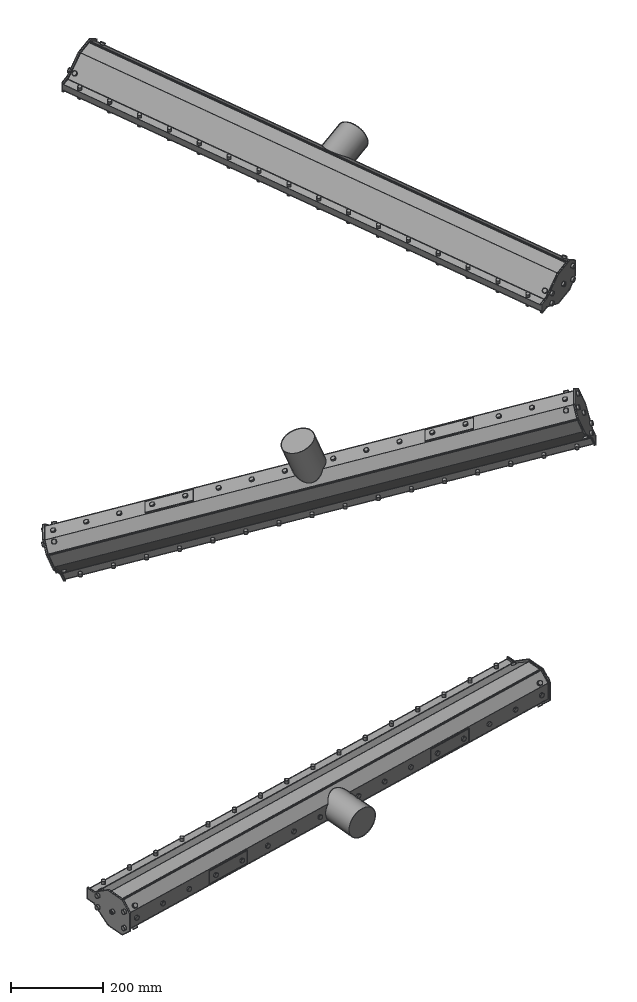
import cadquery as cq
import math


body_half_height = 45.0
lip_half_height = 10.0
slope_start_half_height = 9.0
back_half_height = 22.0
front_y = -85.0
lip_start_y = -67.0
ridge_front_y = -14.0
ridge_back_y = 26.0
back_y = 50.0

seam_width = 4.0
seam_depth = 1.0
seam_front_y = ridge_back_y - seam_width

plate_outer_x = 612.0
plate_thickness = 4.0
plate_half_height = 48.0
plate_lip_half_height = 15.0
plate_back_half_height = 25.0
plate_lip_start_y = -64.0
plate_ridge_front_y = -17.0
plate_ridge_back_y = 30.0
plate_back_y = 53.0
plate_inner_x = plate_outer_x - plate_thickness

pipe_diameter = 77.0
pipe_end_y = 126.0

bolt_diameter = 11.0
lip_bolt_diameter = 9.0
bolt_head_height = 4.0
plate_bolt_head_height = 5.6
slope_bolt_head_height = 5.0
bolt_root_depth = 2.0

lip_bolt_count = 16
lip_bolt_row_length = 1143.0
bolt_pitch = lip_bolt_row_length / (lip_bolt_count - 1)
lip_bolt_y = -78.0
lip_bolt_top_z = 19.0

back_bolt_count = 8
first_back_bolt_x = 56.0

hatch_width = 111.0
hatch_height = 37.0
hatch_thickness = 1.9
hatch_bolt_indices = (3, 4)
hatch_center_x = first_back_bolt_x + sum(hatch_bolt_indices) / 2 * bolt_pitch

plate_bolt_points = [(0, 0), (38.0, 22.0), (38.0, -22.0), (-48.0, 16.0), (-48.0, -16.0)]
stud_diameter = 7.5
stud_length = 6.8

front_slope_bolt_x = 600.0
front_slope_bolt_y = -52.0
back_slope_bolt_x = first_back_bolt_x + (back_bolt_count - 1) * bolt_pitch
back_slope_bolt_y = 43.0

front_slope_foot = (lip_start_y, slope_start_half_height)
front_slope_top = (ridge_front_y, body_half_height)
back_slope_top = (ridge_back_y, body_half_height)
back_slope_foot = (back_y, back_half_height)
seam_floor_half_height = body_half_height - seam_depth


def extrude_profile(upper_points, start_x, length):
    """Mirror the upper half of a (y, z) outline and extrude it along +X."""
    lower_points = [(y, -z) for y, z in reversed(upper_points)]
    outline = cq.Workplane("YZ", origin=(start_x, 0, 0)).polyline(upper_points + lower_points)
    return outline.close().extrude(length)


def bolt(base, direction, diameter, height):
    """Round head rising by height from the base point, rooted a little below it."""
    plane = cq.Plane(origin=base, normal=direction)
    root = cq.Workplane(plane).workplane(offset=-bolt_root_depth)
    return root.circle(diameter / 2).extrude(height + bolt_root_depth)


def slope_bolts(x, y, foot, top):
    """Four heads at +-x, square to the slope from foot to top and to its mirror below."""
    run = top[0] - foot[0]
    rise = top[1] - foot[1]
    z = foot[1] + (y - foot[0]) * rise / run
    outward_y = -rise * math.copysign(1, run)
    heads = []
    for x_sign in (-1, 1):
        for z_sign in (-1, 1):
            base = (x_sign * x, y, z_sign * z)
            direction = (0, outward_y, z_sign * abs(run))
            heads.append(bolt(base, direction, bolt_diameter, slope_bolt_head_height))
    return heads


body_profile = [
    (front_y, lip_half_height),
    (lip_start_y, lip_half_height),
    front_slope_foot,
    front_slope_top,
    (seam_front_y, body_half_height),
    (seam_front_y, seam_floor_half_height),
    (ridge_back_y, seam_floor_half_height),
    back_slope_top,
    back_slope_foot,
]
plate_profile = [
    (front_y, plate_lip_half_height),
    (plate_lip_start_y, plate_lip_half_height),
    (plate_ridge_front_y, plate_half_height),
    (plate_ridge_back_y, plate_half_height),
    (plate_back_y, plate_back_half_height),
]

result = extrude_profile(body_profile, -plate_inner_x, 2 * plate_inner_x)
for start_x in (-plate_outer_x, plate_inner_x):
    result = result.union(extrude_profile(plate_profile, start_x, plate_thickness))

pipe = cq.Workplane("XZ").circle(pipe_diameter / 2).extrude(-pipe_end_y)
result = result.union(pipe)

for x_sign in (-1, 1):
    hatch = cq.Workplane("XY").box(hatch_width, 2 * hatch_thickness, hatch_height)
    result = result.union(hatch.translate((x_sign * hatch_center_x, back_y, 0)))

bolts = []

for index in range(lip_bolt_count):
    x = index * bolt_pitch - lip_bolt_row_length / 2
    for z_sign in (-1, 1):
        base = (x, lip_bolt_y, z_sign * lip_half_height)
        bolts.append(bolt(base, (0, 0, z_sign), lip_bolt_diameter, lip_bolt_top_z - lip_half_height))

for index in range(back_bolt_count):
    base_y = back_y
    if index in hatch_bolt_indices:
        base_y = back_y + hatch_thickness
    for x_sign in (-1, 1):
        x = x_sign * (first_back_bolt_x + index * bolt_pitch)
        bolts.append(bolt((x, base_y, 0), (0, 1, 0), bolt_diameter, bolt_head_height))

for x_sign in (-1, 1):
    for y, z in plate_bolt_points:
        base = (x_sign * plate_outer_x, y, z)
        bolts.append(bolt(base, (x_sign, 0, 0), bolt_diameter, plate_bolt_head_height))
bolts.append(bolt((plate_outer_x, 0, 0), (1, 0, 0), stud_diameter, stud_length))

bolts += slope_bolts(front_slope_bolt_x, front_slope_bolt_y, front_slope_foot, front_slope_top)
bolts += slope_bolts(back_slope_bolt_x, back_slope_bolt_y, back_slope_foot, back_slope_top)

for head in bolts:
    result = result.union(head)